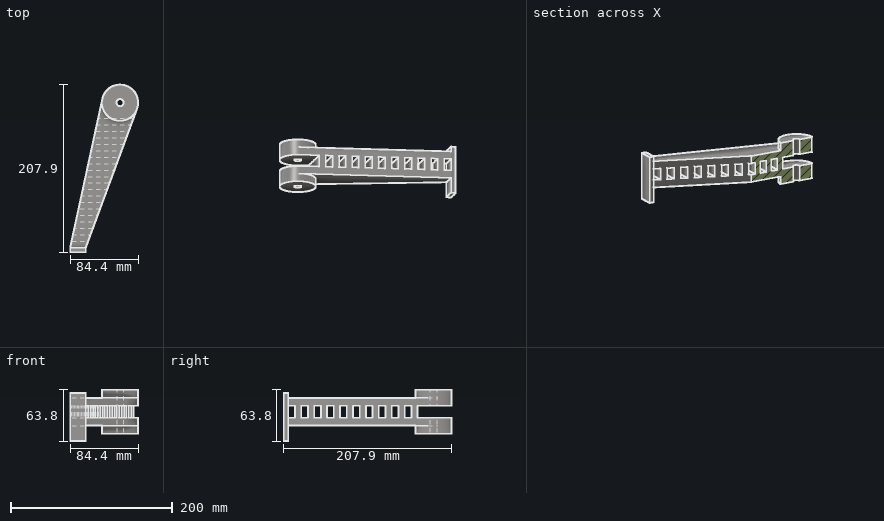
import cadquery as cq
import math

plate_width = 19.6
plate_thickness = 6.0
plate_height = 60.0

hub_diameter = 45.0
bore_diameter = 8.5
hub_x = 61.88
hub_y = 185.43
hub_top = 63.75
fork_gap = 14.5
wall_thickness = 10.0

window_count = 10
window_length = 8.0
rung_length = 8.0

hub_radius = hub_diameter / 2
arm_height = fork_gap + 2 * wall_thickness
hub_height = arm_height + 2 * wall_thickness
hub_bottom = hub_top - hub_height
arm_bottom = hub_bottom + wall_thickness
gap_bottom = arm_bottom + wall_thickness

window_pitch = window_length + rung_length
fork_root_y = plate_thickness + window_count * window_pitch
cut_width = hub_x + hub_diameter


def tangent_point(start_x, start_y, side):
    """Point where a line from the start touches the hub; side is +1 for left, -1 for right."""
    dx = start_x - hub_x
    dy = start_y - hub_y
    half_angle = math.acos(hub_radius / math.hypot(dx, dy))
    angle = math.atan2(dy, dx) - side * half_angle
    return (hub_x + hub_radius * math.cos(angle), hub_y + hub_radius * math.sin(angle))


def make_plate():
    return cq.Workplane("XY").box(plate_width, plate_thickness, plate_height, centered=False)


def make_hub():
    return (
        cq.Workplane("XY", origin=(hub_x, hub_y, hub_bottom))
        .circle(hub_radius)
        .extrude(hub_height)
    )


def make_arm():
    """Arm that widens from the plate and runs tangent into the hub on both sides."""
    left_start = (0, plate_thickness)
    right_start = (plate_width, plate_thickness)
    return (
        cq.Workplane("XY", origin=(0, 0, arm_bottom))
        .moveTo(*left_start)
        .lineTo(*right_start)
        .lineTo(*tangent_point(*right_start, -1))
        .threePointArc((hub_x, hub_y + hub_radius), tangent_point(*left_start, 1))
        .close()
        .extrude(arm_height)
    )


def gap_cutter(start_y, length):
    """Block as tall as the fork gap that cuts through the arm along X."""
    return cq.Workplane("XY", origin=(0, start_y, gap_bottom)).box(
        cut_width, length, fork_gap, centered=False
    )


def make_bore():
    return (
        cq.Workplane("XY", origin=(hub_x, hub_y, hub_bottom))
        .circle(bore_diameter / 2)
        .extrude(hub_height)
    )


result = make_plate().union(make_arm()).union(make_hub())

for index in range(window_count):
    window_start = plate_thickness + index * window_pitch
    result = result.cut(gap_cutter(window_start, window_length))

fork_length = hub_y + hub_radius - fork_root_y
result = result.cut(gap_cutter(fork_root_y, fork_length))
result = result.cut(make_bore())